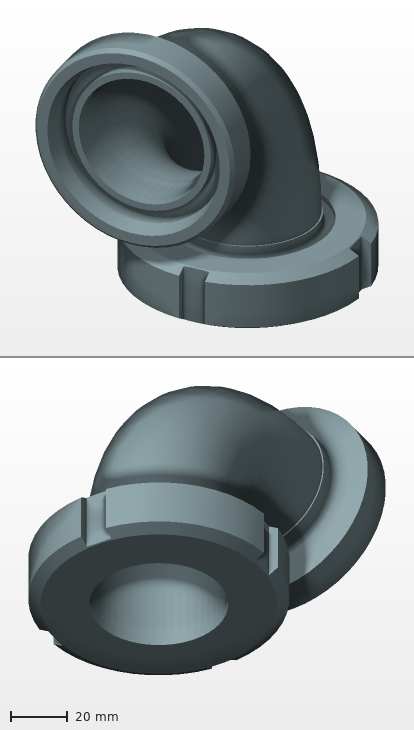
import cadquery as cq
import math

OVERALL_LENGTH = 139.2
BORE_D = 49.0
PIPE_D = 52.0
COLLAR_D = 53.0
BEND_R = 70.0
OUTLET_Z = 94.5
BEND_START_Z = OUTLET_Z - BEND_R

NUT_D = 92.0
NUT_HEIGHT = 22.0
NUT_HOLE_D = 62.0
NUT_CHAMFER_HEIGHT = 2.5
NUT_CHAMFER_WIDTH = NUT_CHAMFER_HEIGHT / math.tan(math.radians(30))
SLOT_COUNT = 4
SLOT_WIDTH = 10.0
SLOT_FLOOR_SPAN = 84.1
NUT_REACH = math.sqrt((NUT_D / 2) ** 2 - (SLOT_WIDTH / 2) ** 2)

LINER_RECESS = 2.2
LINER_SHOULDER_Z = NUT_HEIGHT - LINER_RECESS
LINER_FILLET_R = 1.5

FITTING_LENGTH = OVERALL_LENGTH - NUT_REACH - BEND_R
RIM_D = 78.0
RIM_LENGTH = 14.0
RIM_CHAMFER = 1.4
BACK_SLOPE = math.radians(10)
NECK_FILLET_R = 2.5
SEAT_D = 63.8
SEAT_CONE_DEPTH = 6.5
SEAT_MOUTH_D = SEAT_D + 2 * SEAT_CONE_DEPTH * math.tan(math.radians(15))
SEAT_DEPTH = 11.1
LIP_D = 54.0
LIP_DEPTH = 6.5


def make_elbow():
    """Quarter bend of tube from the liner to the end fitting."""
    ring = cq.Workplane("XY").workplane(offset=BEND_START_Z).circle(PIPE_D / 2).circle(BORE_D / 2)
    return ring.revolve(90, (0, -BEND_R, 0), (1, -BEND_R, 0))


def make_nut():
    """Round nut, chamfered on both rims, with slots for a hook spanner."""
    outer_r = NUT_D / 2
    hole_r = NUT_HOLE_D / 2
    face_r = outer_r - NUT_CHAMFER_WIDTH
    profile = [
        (hole_r, 0),
        (face_r, 0),
        (outer_r, NUT_CHAMFER_HEIGHT),
        (outer_r, NUT_HEIGHT - NUT_CHAMFER_HEIGHT),
        (face_r, NUT_HEIGHT),
        (hole_r, NUT_HEIGHT),
    ]
    nut = cq.Workplane("XZ").polyline(profile).close().revolve(360, (0, 0, 0), (0, 1, 0))
    slot = cq.Workplane("XY").box(NUT_D, SLOT_WIDTH, NUT_HEIGHT, centered=(False, True, False))
    slot = slot.translate((SLOT_FLOOR_SPAN / 2, 0, 0))
    for i in range(SLOT_COUNT):
        nut = nut.cut(slot.rotate((0, 0, 0), (0, 0, 1), i * 360 / SLOT_COUNT))
    return nut


def make_liner():
    """Bored hub that fills the nut hole and rises as a collar to the elbow."""
    hub_r = NUT_HOLE_D / 2
    collar_r = COLLAR_D / 2
    arc_offset = LINER_FILLET_R * (1 - math.sqrt(0.5))
    return (
        cq.Workplane("XZ")
        .moveTo(BORE_D / 2, 0)
        .lineTo(hub_r, 0)
        .lineTo(hub_r, LINER_SHOULDER_Z)
        .lineTo(collar_r + LINER_FILLET_R, LINER_SHOULDER_Z)
        .threePointArc(
            (collar_r + arc_offset, LINER_SHOULDER_Z + arc_offset),
            (collar_r, LINER_SHOULDER_Z + LINER_FILLET_R),
        )
        .lineTo(collar_r, BEND_START_Z)
        .lineTo(BORE_D / 2, BEND_START_Z)
        .close()
        .revolve(360, (0, 0, 0), (0, 1, 0))
    )


def make_fitting():
    """End fitting: chamfered rim, sloped back, filleted neck, coned seat and inner lip."""
    rim_r = RIM_D / 2
    collar_r = COLLAR_D / 2
    back_corner = RIM_LENGTH + (rim_r - collar_r) * math.tan(BACK_SLOPE)
    tangent_length = NECK_FILLET_R * math.tan((math.pi / 2 - BACK_SLOPE) / 2)
    center_r = collar_r + NECK_FILLET_R
    center_depth = back_corner + tangent_length
    mid_angle = (math.pi / 2 - BACK_SLOPE) / 2

    def fillet_point(angle):
        """Radius and depth on the fillet arc, turned by angle from the collar tangent point."""
        return (
            center_r - NECK_FILLET_R * math.cos(angle),
            center_depth - NECK_FILLET_R * math.sin(angle),
        )

    body = (
        cq.Workplane("XY")
        .moveTo(SEAT_MOUTH_D / 2, 0)
        .lineTo(rim_r - RIM_CHAMFER, 0)
        .lineTo(rim_r, RIM_CHAMFER)
        .lineTo(rim_r, RIM_LENGTH)
        .lineTo(*fillet_point(2 * mid_angle))
        .threePointArc(fillet_point(mid_angle), fillet_point(0))
        .lineTo(collar_r, FITTING_LENGTH)
        .lineTo(BORE_D / 2, FITTING_LENGTH)
        .lineTo(BORE_D / 2, LIP_DEPTH)
        .lineTo(LIP_D / 2, LIP_DEPTH)
        .lineTo(LIP_D / 2, SEAT_DEPTH)
        .lineTo(SEAT_D / 2, SEAT_DEPTH)
        .lineTo(SEAT_D / 2, SEAT_CONE_DEPTH)
        .close()
        .revolve(360, (0, 0, 0), (0, 1, 0))
    )
    return body.translate((0, -BEND_R - FITTING_LENGTH, OUTLET_Z))


elbow = make_elbow()
nut = make_nut()
liner = make_liner()
fitting = make_fitting()

result = cq.Compound.makeCompound([elbow.val(), nut.val(), liner.val(), fitting.val()])